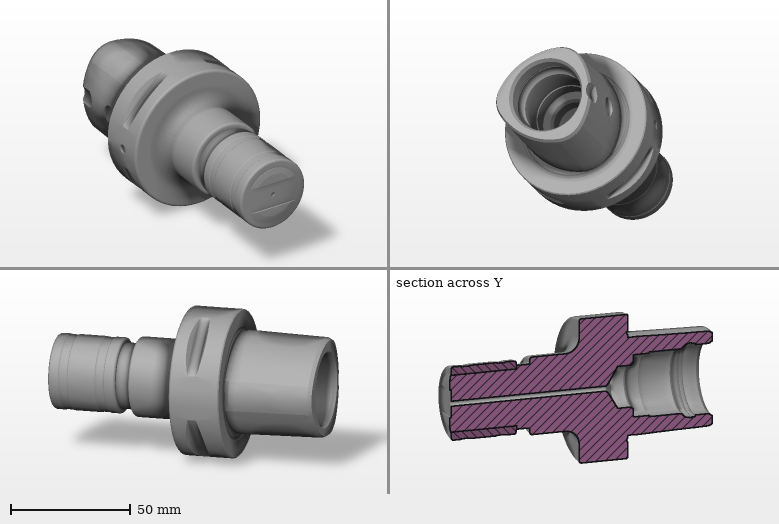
import cadquery as cq
import math

lobe_offset = 10.4
lobe_radius_tip = 12.2
lobe_radius_base = 13.0
lobe_radius_relief = 12.9
taper_chamfer_length = 1.7
taper_chamfer_depth = 0.8
taper_length = 35.6
relief_start = 36.1
relief_turned_radius = 22.4

flange_start = 38.0
flange_end = 60.0
flange_radius = 31.5
flange_front_chamfer = 0.5
flange_back_fillet = 1.2
face_groove_radius = 23.4
face_groove_half_width = 0.8
face_groove_depth = 0.4

shank_radius = 17.0
shank_end = 82.0
shank_fillet = 6.0
shank_edge_fillet = 1.2
neck_radius = 28.0 / 2
neck_fillet = 0.6
spindle_radius = 25.0 / 2
nose_end = 118.0
nose_tip_radius = 9.9
nose_chamfer_length = 0.5
nose_slot_width = 11.8

sleeve_start = 88.0
sleeve_end = 117.3
sleeve_radius = 16.0
sleeve_edge_fillet = 1.1
band_radius = 31.6 / 2
band_width = 4.2
band_wall_width = 0.4
band_starts = (92.6, 108.6)

bore_mouth_radius = 16.3
bore_entry_radius = 15.2
bore_entry_depth = 1.7
clamp_groove_radius = 15.9
clamp_groove_start = 7.8
clamp_groove_fillet = 2.2
ring_groove_start = 9.3
ring_groove_width = 1.0
ring_groove_depth = 0.4
bore_radius = 28.0 / 2
bore_cone_angle = 45.0
bore_cone_end = 13.9
bore_step_radius = 13.5
bore_step_depth = 28.3
bore_floor = 35.4
socket_mouth_radius = 10.1
socket_radius = 18.0 / 2
socket_depth = 7.1
coolant_entry_radius = 5.0 / 2
coolant_entry_depth = 1.2
coolant_radius = 2.0 / 2

drill_tip_angle = 118.0
key_hole_radius = 8.3 / 2
key_notch_radius = 5.3
key_notch_tip_angle = 90.0
key_notch_length = 6.6
key_notch_offset = 23.2
key_hole_x = 22.5
key_hole_floor = 16.5
index_hole_radius = 4.0 / 2
index_hole_x = 50.0
index_hole_depth = 2.4

gripper_x = index_hole_x
gripper_floor_distance = 28.0
gripper_floor_half_width = 1.5
gripper_wall_half_width = 2.0
gripper_wall_height = 0.2
gripper_slope = 30.0
gripper_clearance = 1.2
gripper_angles = (45, 135, 225, 315)


def revolve_about_x(profile):
    return profile.close().revolve(360, (0, 0, 0), (1, 0, 0))


def polar(radius, angle):
    turn = math.radians(angle)
    return radius * math.cos(turn), radius * math.sin(turn)


def polygon_wire(x, lobe_radius):
    """Rounded triangle in the plane at x, with one lobe toward +Y."""
    side_radius = lobe_radius + lobe_offset * math.sqrt(3)

    def on_arc(centre_angle, radius, angle):
        centre_y, centre_z = polar(lobe_offset, centre_angle)
        y, z = polar(radius, angle)
        return centre_y + y, centre_z + z

    outline = cq.Workplane("YZ", origin=(x, 0, 0)).moveTo(*on_arc(0, lobe_radius, -30))
    for lobe in (0, 120, 240):
        opposite = lobe + 240
        outline = outline.threePointArc(on_arc(lobe, lobe_radius, lobe), on_arc(lobe, lobe_radius, lobe + 30))
        outline = outline.threePointArc(
            on_arc(opposite, side_radius, lobe + 60), on_arc(opposite, side_radius, lobe + 90)
        )
    return outline.close().val()


def ruled_loft(start, end):
    return cq.Workplane(cq.Solid.makeLoft([start, end], True))


def polygon_taper():
    growth = (lobe_radius_base - lobe_radius_tip) / taper_length
    lobe_radius_chamfer = lobe_radius_tip + growth * taper_chamfer_length
    sections = (
        (0, lobe_radius_chamfer - taper_chamfer_depth),
        (taper_chamfer_length, lobe_radius_chamfer),
        (taper_length, lobe_radius_base),
        (relief_start, lobe_radius_relief),
    )
    wires = [polygon_wire(x, lobe_radius) for x, lobe_radius in sections]
    taper = ruled_loft(wires[0], wires[1])
    for start, end in zip(wires[1:], wires[2:]):
        taper = taper.union(ruled_loft(start, end))
    relief = ruled_loft(wires[-1], polygon_wire(flange_start, lobe_radius_relief))
    turned = cq.Workplane("YZ").circle(relief_turned_radius).extrude(flange_start)
    return taper.union(relief.intersect(turned))


def turned_body():
    """Flange, shank, neck and spindle as one turned shape."""
    bend = math.sqrt(0.5)
    fillet_x = flange_end + shank_fillet
    fillet_r = shank_radius + shank_fillet
    back_x = flange_end - flange_back_fillet
    back_r = flange_radius - flange_back_fillet
    edge_x = shank_end - shank_edge_fillet
    edge_r = shank_radius - shank_edge_fillet
    neck_x = shank_end + neck_fillet
    neck_r = neck_radius + neck_fillet
    profile = (
        cq.Workplane("XY")
        .moveTo(flange_start, 0)
        .lineTo(flange_start, face_groove_radius - face_groove_half_width)
        .threePointArc(
            (flange_start + face_groove_depth, face_groove_radius),
            (flange_start, face_groove_radius + face_groove_half_width),
        )
        .lineTo(flange_start, flange_radius - flange_front_chamfer)
        .lineTo(flange_start + flange_front_chamfer, flange_radius)
        .lineTo(back_x, flange_radius)
        .threePointArc(
            (back_x + flange_back_fillet * bend, back_r + flange_back_fillet * bend), (flange_end, back_r)
        )
        .lineTo(flange_end, fillet_r)
        .threePointArc(
            (fillet_x - shank_fillet * bend, fillet_r - shank_fillet * bend), (fillet_x, shank_radius)
        )
        .lineTo(edge_x, shank_radius)
        .threePointArc(
            (edge_x + shank_edge_fillet * bend, edge_r + shank_edge_fillet * bend), (shank_end, edge_r)
        )
        .lineTo(shank_end, neck_r)
        .threePointArc(
            (neck_x - neck_fillet * bend, neck_r - neck_fillet * bend), (neck_x, neck_radius)
        )
        .lineTo(sleeve_start, neck_radius)
        .lineTo(sleeve_start, spindle_radius)
        .lineTo(nose_end - nose_chamfer_length, spindle_radius)
        .lineTo(nose_end, nose_tip_radius)
        .lineTo(nose_end, 0)
    )
    return revolve_about_x(profile)


def bore_cutter():
    slope = math.radians(bore_cone_angle)
    cone_r = clamp_groove_radius - clamp_groove_fillet * (1 - math.cos(slope))
    cone_x = bore_cone_end - (cone_r - bore_radius) / math.tan(slope)
    arc_x = cone_x - clamp_groove_fillet * math.sin(slope)
    arc_middle = (
        arc_x + clamp_groove_fillet * math.sin(slope / 2),
        clamp_groove_radius - clamp_groove_fillet * (1 - math.cos(slope / 2)),
    )
    ring_groove_end = ring_groove_start + ring_groove_width
    ring_groove_radius = clamp_groove_radius + ring_groove_depth
    socket_end = bore_floor + socket_depth
    floor_slope = math.tan(math.radians(drill_tip_angle / 2))
    entry_x = socket_end + (socket_radius - coolant_entry_radius) / floor_slope
    coolant_x = entry_x + coolant_entry_depth
    profile = (
        cq.Workplane("XY")
        .moveTo(0, 0)
        .lineTo(0, bore_mouth_radius)
        .lineTo(bore_entry_depth, bore_entry_radius)
        .lineTo(clamp_groove_start, bore_entry_radius)
        .lineTo(clamp_groove_start, clamp_groove_radius)
        .lineTo(ring_groove_start, clamp_groove_radius)
        .lineTo(ring_groove_start, ring_groove_radius)
        .lineTo(ring_groove_end, ring_groove_radius)
        .lineTo(ring_groove_end, clamp_groove_radius)
        .lineTo(arc_x, clamp_groove_radius)
        .threePointArc(arc_middle, (cone_x, cone_r))
        .lineTo(bore_cone_end, bore_radius)
        .lineTo(bore_step_depth, bore_radius)
        .lineTo(bore_step_depth, bore_step_radius)
        .lineTo(bore_floor, bore_step_radius)
        .lineTo(bore_floor, socket_mouth_radius)
        .lineTo(bore_floor + socket_mouth_radius - socket_radius, socket_radius)
        .lineTo(socket_end, socket_radius)
        .lineTo(entry_x, coolant_entry_radius)
        .lineTo(coolant_x, coolant_radius)
        .lineTo(nose_end, coolant_radius)
        .lineTo(nose_end, 0)
    )
    return revolve_about_x(profile)


def drill(radius, depth, start, direction, tip_angle=drill_tip_angle):
    """Cylinder with a pointed tip; depth is that of the full diameter."""
    tip = radius / math.tan(math.radians(tip_angle / 2))
    body = cq.Solid.makeCylinder(radius, depth, cq.Vector(*start), cq.Vector(*direction))
    tip_start = cq.Vector(*start) + cq.Vector(*direction) * depth
    point = cq.Solid.makeCone(radius, 0, tip, tip_start, cq.Vector(*direction))
    return cq.Workplane(body).union(cq.Workplane(point))


def gripper_cutter(angle):
    """Sloped-wall groove milled straight across the rim, its floor square to the given direction."""
    wall_base = gripper_floor_distance + gripper_wall_height
    top = flange_radius + gripper_clearance
    top_half_width = gripper_wall_half_width + (top - wall_base) * math.tan(math.radians(gripper_slope))
    groove = (
        cq.Workplane("XY", origin=(gripper_x, 0, 0))
        .moveTo(-gripper_floor_half_width, gripper_floor_distance)
        .lineTo(gripper_floor_half_width, gripper_floor_distance)
        .lineTo(gripper_wall_half_width, wall_base)
        .lineTo(top_half_width, top)
        .lineTo(-top_half_width, top)
        .lineTo(-gripper_wall_half_width, wall_base)
        .close()
        .extrude(flange_radius, both=True)
    )
    return groove.rotate((0, 0, 0), (1, 0, 0), angle)


def build_holder():
    body = polygon_taper().union(turned_body()).cut(bore_cutter())
    notch_start = (0, -key_notch_offset, 0)
    body = body.cut(drill(key_notch_radius, key_notch_length, notch_start, (1, 0, 0), key_notch_tip_angle))
    outside = flange_radius
    body = body.cut(
        drill(key_hole_radius, outside - key_hole_floor, (key_hole_x, -outside, 0), (0, 1, 0))
    )
    body = body.cut(drill(index_hole_radius, index_hole_depth, (index_hole_x, -outside, 0), (0, 1, 0)))
    for angle in gripper_angles:
        body = body.cut(gripper_cutter(angle))
    slot_depth = nose_end - sleeve_end
    slot = cq.Workplane("XY").box(slot_depth, 2 * spindle_radius, nose_slot_width)
    return body.cut(slot.translate((nose_end - slot_depth / 2, 0, 0)))


def build_sleeve():
    length = sleeve_end - sleeve_start
    sleeve = (
        cq.Workplane("YZ", origin=(sleeve_start, 0, 0))
        .circle(sleeve_radius)
        .extrude(length)
        .edges()
        .fillet(sleeve_edge_fillet)
    )
    for start in band_starts:
        end = start + band_width
        band = (
            cq.Workplane("XY")
            .moveTo(start, sleeve_radius)
            .lineTo(start + band_wall_width, band_radius)
            .lineTo(end - band_wall_width, band_radius)
            .lineTo(end, sleeve_radius)
        )
        sleeve = sleeve.cut(revolve_about_x(band))
    bore = cq.Workplane("YZ", origin=(sleeve_start, 0, 0)).circle(spindle_radius).extrude(length)
    return sleeve.cut(bore)


holder = build_holder()
sleeve = build_sleeve()
result = cq.Compound.makeCompound([holder.val(), sleeve.val()])